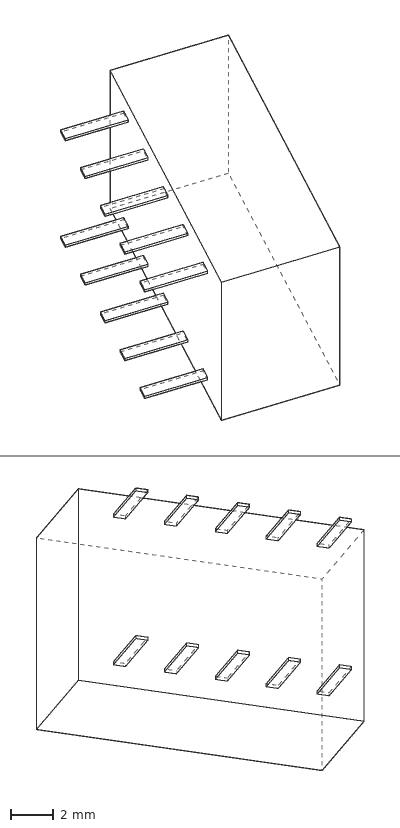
import cadquery as cq

body_length = 14.26
body_depth = 6.0
body_height = 9.9

pin_width = 0.6
pin_thickness = 0.15
pin_length = 3.2
pins_per_row = 5
row_span = 10.17
pin_pitch = row_span / (pins_per_row - 1)
row_spacing = 3 * pin_pitch
row_count = 2


def make_body():
    """Housing centred in X and Z, with its pin face on the plane Y = 0."""
    return cq.Workplane("XY").box(
        body_length, body_depth, body_height, centered=(True, False, True)
    )


def make_pins():
    """Grid of flat pins growing from the pin face toward -Y."""
    return (
        cq.Workplane("XZ")
        .rarray(pin_pitch, row_spacing, pins_per_row, row_count)
        .rect(pin_width, pin_thickness)
        .extrude(pin_length)
    )


result = make_body().union(make_pins())